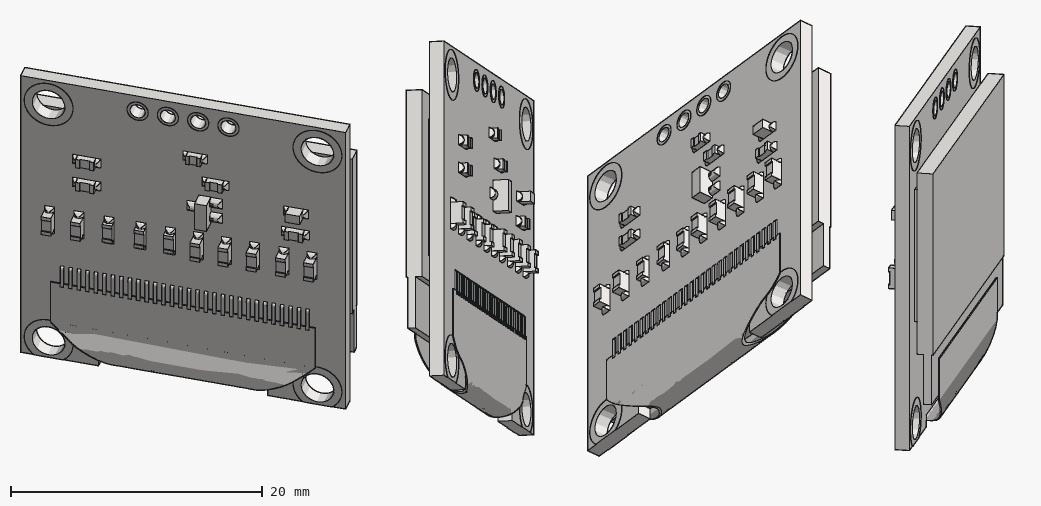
import cadquery as cq
import math


board_width = 27.0
board_height = 27.02
board_thickness = 1.2
notch_width = 14.05
notch_depth = 1.0

pad_rise = 0.035
mount_hole_diameter = 2.7
mount_pad_diameter = 4.05
mount_hole_x = 11.15
mount_hole_heights = (1.62, 24.7)
pin_hole_diameter = 1.25
pin_pad_diameter = 1.75
pin_hole_pitch = 2.5
pin_hole_count = 4
pin_hole_height = 25.55

spacer_width = 22.97
spacer_thickness = 0.62
spacer_bottom = 10.13
spacer_top = 21.15
glass_thickness = 1.3
glass_bottom = 8.08
glass_top = 23.18
ledge_thickness = 0.65
ledge_bottom = 3.95
glass_front = board_thickness + spacer_thickness
glass_back = glass_front + glass_thickness

film_thickness = 0.1
film_width = 21.97
film_front_top = 7.45
film_back_top = 7.03
fold_height = 3.55
fold_tip_width = 10.8
fold_side_sag = 0.49
film_bulge = 0.35
fold_curve = (
    (glass_back, fold_height),
    (2.78, 1.7),
    (2.13, 0.65),
    (1.2, 0.08),
    (0.7, 0),
    (0.08, 0.27),
    (-film_bulge, 1.62),
    (-film_thickness, fold_height),
)

strip_count = 30
strip_pitch = 0.7
strip_width = 0.3
strip_bottom = 7.15
strip_top = 9.13
strip_rise = 0.14
strip_nose = 0.35
strip_row_x = 0.15

chip_width = 0.8
chip_cap_step = 0.1
solder_length = 0.4
solder_height = 0.38
solder_root = 0.14
low_chip_height = 0.62
tall_chip_height = 1.03
row_chip_length = 1.73
row_chip_cap = 0.32
row_chip_z = 13.48
row_low_chip_x = (-6.13, -3.49, -1.05)
row_tall_chip_x = (-11.08, -8.65, 1.27, 3.6, 5.95, 8.38, 10.7)
level_chips = (
    (-8.0, 19.83, 1.5, 0.35),
    (-8.0, 17.6, 1.5, 0.35),
    (9.32, 16.37, 1.5, 0.35),
    (1.0, 22.05, 1.22, 0.3),
    (2.7, 19.83, 1.4, 0.38),
)
plain_chip_x = 9.38
plain_chip_z = 18.4
plain_chip_length = 1.22

transistor_x = 1.8
transistor_z = 17.15
transistor_width = 1.0
transistor_length = 2.5
transistor_height = 1.25
transistor_solder_length = 0.97
transistor_solder_width = 0.9
transistor_solder_pitch = 1.4
transistor_solder_shift = 0.08
transistor_lead_length = 0.3
transistor_lead_width = 0.2
transistor_lead_height = 0.4


def block(x_span, y_span, z_span):
    """Box between the given limits along each axis."""
    sizes = [high - low for low, high in (x_span, y_span, z_span)]
    corner = (x_span[0], y_span[0], z_span[0])
    return cq.Workplane("XY").box(*sizes, centered=False).translate(corner)


def wide_block(width, y_span, z_span):
    """Box centred on X."""
    return block((-width / 2, width / 2), y_span, z_span)


def rod(x, z, diameter, y_start, y_end):
    """Cylinder along Y."""
    axis = cq.Vector(0, 1, 0)
    start = cq.Vector(x, y_start, z)
    return cq.Workplane(cq.Solid.makeCylinder(diameter / 2, y_end - y_start, start, axis))


def make_board():
    """Board with a bottom notch for the film and raised rings around its plated holes."""
    board = wide_block(board_width, (0, board_thickness), (0, board_height))
    outline = wide_block(board_width, (-pad_rise, board_thickness + pad_rise), (0, board_height))
    pin_row_start = -pin_hole_pitch * (pin_hole_count - 1) / 2
    holes = [(side * mount_hole_x, z, mount_hole_diameter, mount_pad_diameter)
             for side in (-1, 1) for z in mount_hole_heights]
    holes += [(pin_row_start + i * pin_hole_pitch, pin_hole_height, pin_hole_diameter, pin_pad_diameter)
              for i in range(pin_hole_count)]
    for x, z, hole_diameter, pad_diameter in holes:
        pad = rod(x, z, pad_diameter, -pad_rise, board_thickness + pad_rise).intersect(outline)
        hole = rod(x, z, hole_diameter, -pad_rise, board_thickness + pad_rise)
        board = board.union(pad).cut(hole)
    return board.cut(wide_block(notch_width, (0, board_thickness), (0, notch_depth)))


def make_display():
    """Spacer, glass panel and the thinner glass ledge below it."""
    spacer = wide_block(spacer_width, (board_thickness, glass_front), (spacer_bottom, spacer_top))
    glass = wide_block(board_width, (glass_front, glass_back), (glass_bottom, glass_top))
    ledge_back = glass_back - film_thickness
    ledge = wide_block(board_width, (ledge_back - ledge_thickness, ledge_back), (ledge_bottom, glass_bottom))
    return spacer.union(glass).union(ledge)


def fold_loop(inset):
    """Prism under the fold height bounded by the film's curve, pulled inwards by the inset."""
    centre_y = (glass_back - film_thickness) / 2
    curve = []
    for y, z in fold_curve:
        pull = inset / math.hypot(y - centre_y, z - fold_height)
        curve.append((y + (centre_y - y) * pull, z + (fold_height - z) * pull))
    left_end = cq.Workplane("YZ", origin=(-film_width / 2, 0, 0))
    loop = left_end.spline(curve, tangents=[(0, -1), (0, 1)]).close()
    return loop.extrude(film_width)


def make_fold():
    """Curved film below the fold height, looping under the board and narrowing towards its lowest line."""
    side = film_width / 2
    tip = fold_tip_width / 2
    sagged = fold_height / 2 - fold_side_sag
    chord_middle = (side + tip) / 2
    outline = (
        cq.Workplane("XZ", origin=(0, glass_back, 0))
        .moveTo(-side, fold_height)
        .threePointArc((-chord_middle, sagged), (-tip, 0))
        .lineTo(tip, 0)
        .threePointArc((chord_middle, sagged), (side, fold_height))
        .close()
        .extrude(glass_back + 2 * film_bulge)
    )
    return fold_loop(0).cut(fold_loop(film_thickness)).intersect(outline)


def make_film():
    """Film lying on the board face and on the back of the glass ledge, joined by the fold."""
    front = wide_block(film_width, (-film_thickness, 0), (fold_height, film_front_top))
    back = wide_block(film_width, (glass_back - film_thickness, glass_back), (fold_height, film_back_top))
    return front.union(back).union(make_fold())


def make_strip(x):
    """Contact strip with a rounded upper end."""
    diagonal = math.sqrt(0.5)
    nose_start = strip_top - strip_nose
    return (
        cq.Workplane("YZ", origin=(x, 0, 0))
        .moveTo(0, strip_bottom)
        .lineTo(-strip_rise, strip_bottom)
        .lineTo(-strip_rise, nose_start)
        .threePointArc((-strip_rise * diagonal, nose_start + strip_nose * diagonal), (0, strip_top))
        .close()
        .extrude(strip_width / 2, both=True)
    )


def make_solder(length, width):
    """Solder mound at the origin, running along +X and sloping down to both sides and its far end.

    A short root behind the origin sits inside the component.
    """
    diagonal = math.sqrt(0.5)
    crest = length - solder_length
    across = (
        cq.Workplane("YZ")
        .moveTo(0, -width / 2)
        .threePointArc((-solder_height, 0), (0, width / 2))
        .close()
        .extrude(length + solder_root)
        .translate((-solder_root, 0, 0))
    )
    along = (
        cq.Workplane("XY")
        .moveTo(-solder_root, 0)
        .lineTo(-solder_root, -solder_height)
        .lineTo(crest, -solder_height)
        .threePointArc((crest + solder_length * diagonal, -solder_height * diagonal), (length, 0))
        .close()
        .extrude(width / 2, both=True)
    )
    return across.intersect(along)


def turn(shape, angle):
    """Turn a shape about the Y axis."""
    return shape.rotate((0, 0, 0), (0, 1, 0), angle)


def make_chip(length, height, cap_length=0):
    """Chip along X with solder at both ends; end caps stand above the middle when given a length."""
    half = length / 2
    half_width = chip_width / 2
    chip = block((-half, half), (-height, 0), (-half_width, half_width))
    if cap_length:
        middle = half - cap_length
        recess_span = (-height, chip_cap_step - height)
        chip = chip.cut(block((-middle, middle), recess_span, (-half_width, half_width)))
    solder = make_solder(solder_length, chip_width).translate((half, 0, 0))
    return chip.union(solder).union(turn(solder, 180))


def make_transistor():
    """Three-legged transistor body with one solder mound on the left and two on the right.

    The tips of the two right leads show through the crests of their mounds.
    """
    body = (
        cq.Workplane("XY")
        .box(transistor_width, transistor_height, transistor_length)
        .translate((0, -transistor_height / 2, 0))
    )
    solder = make_solder(transistor_solder_length, transistor_solder_width)
    solder = solder.translate((transistor_width / 2, 0, 0))
    body = body.union(turn(solder, 180).translate((0, 0, transistor_solder_shift)))
    lead = block(
        (transistor_width / 2, transistor_width / 2 + transistor_lead_length),
        (-transistor_lead_height, 0),
        (-transistor_lead_width / 2, transistor_lead_width / 2),
    )
    for side in (-1, 1):
        leg_z = transistor_solder_shift + side * transistor_solder_pitch / 2
        body = body.union(solder.union(lead).translate((0, 0, leg_z)))
    return body.translate((transistor_x, 0, transistor_z))


def make_components():
    """All chips and the transistor on the front of the board."""
    components = [make_transistor()]
    for x_places, height in ((row_low_chip_x, low_chip_height), (row_tall_chip_x, tall_chip_height)):
        upright_chip = turn(make_chip(row_chip_length, height, row_chip_cap), 90)
        components += [upright_chip.translate((x, 0, row_chip_z)) for x in x_places]
    for x, z, length, cap_length in level_chips:
        components.append(make_chip(length, low_chip_height, cap_length).translate((x, 0, z)))
    plain_chip = make_chip(plain_chip_length, tall_chip_height)
    components.append(plain_chip.translate((plain_chip_x, 0, plain_chip_z)))
    return components


result = make_board().union(make_display()).union(make_film())
strip_row_start = strip_row_x - strip_pitch * (strip_count - 1) / 2
for strip_index in range(strip_count):
    result = result.union(make_strip(strip_row_start + strip_index * strip_pitch))
for component in make_components():
    result = result.union(component)